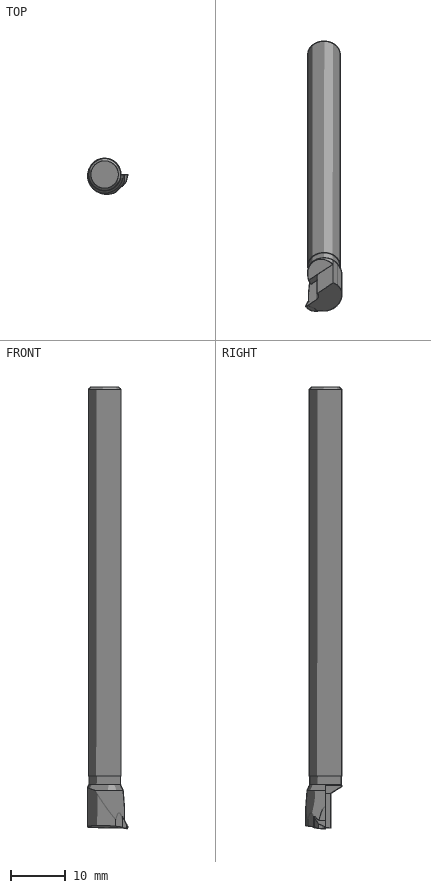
import cadquery as cq
import math

TOTAL_LENGTH = 81.1
SHANK_RADIUS = 6.0 / 2
SHANK_CHAMFER = 0.5
JOINT_Z = 9.7

NECK_RADIUS = 5.8 / 2
NECK_BOTTOM_Z = 8.1
SHOULDER_Z = 7.05
SHOULDER_RADIUS = 3.4
SHOULDER_RIM_RADIUS = 3.0
BASE_RADIUS = 4.0

BACK_ARC_RADIUS = 3.6
BACK_ARC_X = 0.4
BACK_ARC_Y = -0.1
LEFT_X = -3.2
CORE_Y = 1.0
CORE_LEFT_X = -2.9
RELIEF_START_X = 2.0
RELIEF_END_X = 3.65
RELIEF_ANGLE = 45.0
BODY_RIGHT_X = 3.65

STEP_X = 0.8
STEP_RADIUS = 1.8 / 2
FLUTE_TOP_Z = 6.5
RUNOUT_ANGLE = 32.0

TOOTH_TIP_X = 4.3
TOOTH_TIP_Z = 0.3
TOOTH_POINT_X = 4.1
TOOTH_ROOT_X = 3.25
TOOTH_TOP_Z = 2.3
TOOTH_HEEL_X = 4.0
TOOTH_STEP = 0.2

END_Z = 0.25
END_RELIEF = 0.1
END_DISH = 0.04

MARGIN = 8.1


def back_arc_y(x):
    """Y of the round back of the head at the given X."""
    return BACK_ARC_Y - math.sqrt(BACK_ARC_RADIUS**2 - (x - BACK_ARC_X) ** 2)


def relief_y(x):
    """Y of the straight relief flank at the given X."""
    rise = (x - RELIEF_START_X) * math.tan(math.radians(RELIEF_ANGLE))
    return back_arc_y(RELIEF_START_X) + rise


def make_shank():
    length = TOTAL_LENGTH - JOINT_Z
    bar = cq.Workplane("XY").workplane(offset=JOINT_Z).circle(SHANK_RADIUS).extrude(length)
    return bar.faces(">Z").chamfer(SHANK_CHAMFER)


def turned_envelope():
    return (
        cq.Workplane("XZ")
        .moveTo(0, 0)
        .lineTo(BASE_RADIUS, 0)
        .lineTo(SHOULDER_RADIUS, SHOULDER_Z)
        .lineTo(NECK_RADIUS, NECK_BOTTOM_Z)
        .lineTo(NECK_RADIUS, JOINT_Z)
        .lineTo(0, JOINT_Z)
        .close()
        .revolve(360, (0, 0, 0), (0, 1, 0))
    )


def lower_section():
    """Cross-section of the fluted length, extruded to the full head height."""
    arc_bottom = (BACK_ARC_X, BACK_ARC_Y - BACK_ARC_RADIUS)
    relief_start = (RELIEF_START_X, back_arc_y(RELIEF_START_X))
    return (
        cq.Workplane("XY")
        .moveTo(CORE_LEFT_X, CORE_Y)
        .lineTo(LEFT_X, 0)
        .threePointArc(arc_bottom, relief_start)
        .lineTo(RELIEF_END_X, relief_y(RELIEF_END_X))
        .lineTo(BODY_RIGHT_X, 0)
        .lineTo(STEP_X + STEP_RADIUS, 0)
        .radiusArc((STEP_X, STEP_RADIUS), STEP_RADIUS)
        .lineTo(STEP_X, CORE_Y)
        .close()
        .extrude(JOINT_Z)
    )


def upper_zone():
    """Space above the flute, where the turned shape stays whole."""
    rise_per_unit = math.tan(math.radians(RUNOUT_ANGLE))
    return (
        cq.Workplane("YZ")
        .moveTo(-MARGIN, JOINT_Z)
        .lineTo(-MARGIN, NECK_BOTTOM_Z)
        .lineTo(0, NECK_BOTTOM_Z)
        .lineTo(0, FLUTE_TOP_Z)
        .lineTo(CORE_Y, FLUTE_TOP_Z)
        .lineTo(SHANK_RADIUS, FLUTE_TOP_Z + (SHANK_RADIUS - CORE_Y) * rise_per_unit)
        .lineTo(SHANK_RADIUS, JOINT_Z)
        .close()
        .extrude(MARGIN, both=True)
    )


def upper_section():
    """Head cross-section above the flute: the back of the head plus the round shoulder."""
    shoulder = cq.Workplane("XY").circle(SHOULDER_RIM_RADIUS).extrude(JOINT_Z)
    return lower_section().union(shoulder)


def make_tooth():
    """Pointed tooth: its front outline limited by a flank just proud of the body relief."""
    outline = (
        cq.Workplane("XZ")
        .moveTo(TOOTH_ROOT_X, END_Z)
        .lineTo(TOOTH_POINT_X, 0)
        .lineTo(TOOTH_TIP_X, TOOTH_TIP_Z)
        .lineTo(TOOTH_ROOT_X, TOOTH_TOP_Z)
        .close()
        .extrude(BACK_ARC_RADIUS)
    )
    flank = (
        cq.Workplane("XY")
        .moveTo(TOOTH_ROOT_X, 0)
        .lineTo(TOOTH_ROOT_X, relief_y(TOOTH_ROOT_X) - TOOTH_STEP)
        .lineTo(TOOTH_HEEL_X, relief_y(TOOTH_HEEL_X))
        .lineTo(TOOTH_TIP_X, 0)
        .close()
        .extrude(TOOTH_TOP_Z)
    )
    return outline.intersect(flank)


def end_relief_zone():
    """Space below the tilted end face."""
    end_plane = cq.Plane(
        origin=(0, 0, END_Z),
        xDir=(1, 0, -END_DISH),
        normal=(END_DISH, END_RELIEF, 1),
    )
    return cq.Workplane(end_plane).rect(2 * MARGIN, 2 * MARGIN).extrude(-MARGIN)


def make_head():
    section = lower_section().union(upper_section().intersect(upper_zone()))
    body = turned_envelope().intersect(section).cut(end_relief_zone())
    return body.union(make_tooth())


shank = make_shank()
head = make_head()
result = cq.Compound.makeCompound([shank.val(), *head.solids().vals()])